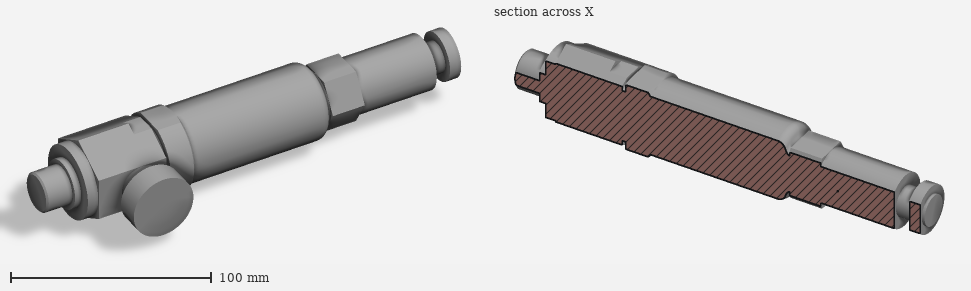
import cadquery as cq


INLET_SHOULDER_Y = 14.5
FLANGE_START_Y = 18.0
BLOCK_START_Y = 24.0
BLOCK_END_Y = 62.8
NUT_START_Y = 64.7
NUT_CHAMFER_Y = 77.8
NUT_END_Y = 79.3
DOME_START_Y = 153.3
DOME_RIM_Y = 158.0
DOME_END_Y = 159.7
CAP_HEX_START_Y = 160.2
CAP_HEX_END_Y = 178.5
SLEEVE_END_Y = 221.3
KNOB_START_Y = 230.0
KNOB_END_Y = 236.3
TOTAL_LENGTH = 238.0

INLET_RADIUS = 10.7
INLET_CHAMFER = 1.0
SHOULDER_RADIUS = 13.3
FLANGE_RADIUS = 20.0
NECK_RADIUS = 18.3
NUT_RADIUS = 22.1
BODY_RADIUS = 20.5
DOME_RIM_RADIUS = 17.1
SLEEVE_RADIUS = 15.0
STEM_RADIUS = 8.5
KNOB_RADIUS = 13.3

NUT_FLAT_HEIGHT = 20.5
BLOCK_ACROSS_CORNERS = 47.4
PAD_HEIGHT = 20.5
PAD_START_Y = 52.8
CAP_HEX_ACROSS_CORNERS = 35.2

OUTLET_Y = 49.0
OUTLET_NECK_RADIUS = 11.7
OUTLET_RADIUS = 17.1
OUTLET_CONE_START_X = 24.0
OUTLET_CONE_END_X = 29.0
OUTLET_END_X = 42.0


def cylinder_y(radius, start, end):
    """Cylinder about the Y axis between two stations."""
    return cq.Workplane("XZ", origin=(0, start, 0)).circle(radius).extrude(start - end)


def hexagon_y(across_corners, start, end, turn):
    """Hexagonal prism about the Y axis, turned by the given angle in degrees."""
    prism = cq.Workplane("XZ", origin=(0, start, 0)).polygon(6, across_corners).extrude(start - end)
    return prism.rotate((0, 0, 0), (0, 1, 0), turn)


def make_inlet():
    """Chamfered inlet spigot, its shoulder and the flange below the block."""
    spigot = cylinder_y(INLET_RADIUS, 0, INLET_SHOULDER_Y).faces("<Y").chamfer(INLET_CHAMFER)
    shoulder = cylinder_y(SHOULDER_RADIUS, INLET_SHOULDER_Y, FLANGE_START_Y)
    flange = cylinder_y(FLANGE_RADIUS, FLANGE_START_Y, BLOCK_START_Y)
    return spigot.union(shoulder).union(flange)


def make_block():
    """Hexagonal block with corners up and down; the top corner is cut to a flat pad."""
    block = hexagon_y(BLOCK_ACROSS_CORNERS, BLOCK_START_Y, BLOCK_END_Y, 30)
    pad_cut = cq.Workplane("XY").box(
        BLOCK_ACROSS_CORNERS,
        BLOCK_END_Y - PAD_START_Y,
        BLOCK_ACROSS_CORNERS / 2,
        centered=(True, False, False),
    ).translate((0, PAD_START_Y, PAD_HEIGHT))
    return block.cut(pad_cut)


def make_nut():
    """Round nut with a chamfered end and two wrench flats, at top and bottom."""
    nut = (
        cq.Workplane("XY")
        .moveTo(0, NUT_START_Y)
        .lineTo(NUT_RADIUS, NUT_START_Y)
        .lineTo(NUT_RADIUS, NUT_CHAMFER_Y)
        .lineTo(BODY_RADIUS, NUT_END_Y)
        .lineTo(0, NUT_END_Y)
        .close()
        .revolve(360, (0, 0, 0), (0, 1, 0))
    )
    between_flats = cq.Workplane("XY").box(2 * NUT_RADIUS, 2 * TOTAL_LENGTH, 2 * NUT_FLAT_HEIGHT)
    return nut.intersect(between_flats)


def make_body():
    """Spring housing with a rounded shoulder that runs into a small cove."""
    return (
        cq.Workplane("XY")
        .moveTo(0, NUT_END_Y)
        .lineTo(BODY_RADIUS, NUT_END_Y)
        .lineTo(BODY_RADIUS, DOME_START_Y)
        .tangentArcPoint((DOME_RIM_RADIUS, DOME_RIM_Y), relative=False)
        .tangentArcPoint((SLEEVE_RADIUS, DOME_END_Y), relative=False)
        .lineTo(SLEEVE_RADIUS, CAP_HEX_START_Y)
        .lineTo(0, CAP_HEX_START_Y)
        .close()
        .revolve(360, (0, 0, 0), (0, 1, 0))
    )


def make_cap():
    """Hexagon, sleeve, stem and lifting knob."""
    hexagon = hexagon_y(CAP_HEX_ACROSS_CORNERS, CAP_HEX_START_Y, CAP_HEX_END_Y, 0)
    sleeve = cylinder_y(SLEEVE_RADIUS, CAP_HEX_END_Y, SLEEVE_END_Y)
    stem = cylinder_y(STEM_RADIUS, SLEEVE_END_Y, TOTAL_LENGTH)
    knob = cylinder_y(KNOB_RADIUS, KNOB_START_Y, KNOB_END_Y)
    return hexagon.union(sleeve).union(stem).union(knob)


def make_outlet():
    """Side branch: a neck that flares through a cone to the outlet collar."""
    return (
        cq.Workplane("XY")
        .moveTo(0, OUTLET_Y)
        .lineTo(0, OUTLET_Y + OUTLET_NECK_RADIUS)
        .lineTo(OUTLET_CONE_START_X, OUTLET_Y + OUTLET_NECK_RADIUS)
        .lineTo(OUTLET_CONE_END_X, OUTLET_Y + OUTLET_RADIUS)
        .lineTo(OUTLET_END_X, OUTLET_Y + OUTLET_RADIUS)
        .lineTo(OUTLET_END_X, OUTLET_Y)
        .close()
        .revolve(360, (0, OUTLET_Y, 0), (1, OUTLET_Y, 0))
    )


neck = cylinder_y(NECK_RADIUS, BLOCK_END_Y, NUT_START_Y)

result = (
    make_inlet()
    .union(make_block())
    .union(neck)
    .union(make_nut())
    .union(make_body())
    .union(make_cap())
    .union(make_outlet())
)